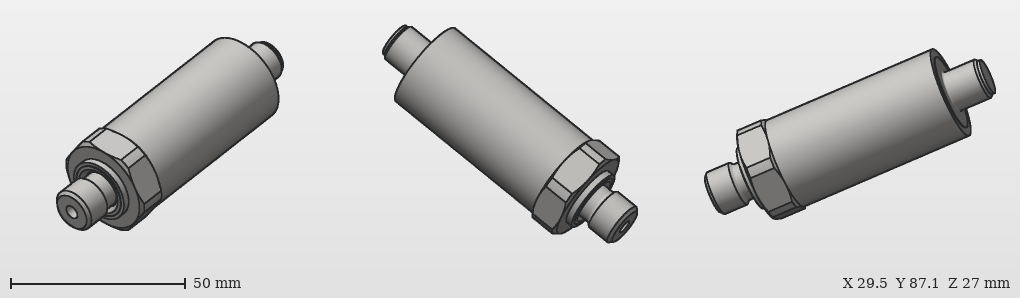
import cadquery as cq
import math


total_length = 87.1
wrench_size = 27.0
hex_sides = 6
hex_corner_diameter = 29.5
hex_chamfer_angle = 30.0

thread_length = 8.0
neck_end = 11.7
collar_step_length = 0.25
collar_length = 2.3
hex_length = 9.0
connector_length = 11.7

thread_radius = 6.55
thread_chamfer = 1.0
neck_radius = 5.6
neck_fillet = 0.8
run_out_angle = 45.0
bore_radius = 2.1
bore_depth = 10.0

collar_radius = 9.45
collar_step_radius = 8.35
recess_angle = 45.0
recess_radius = 7.25
recess_floor_radius = 5.9

rear_step_radius = 11.0
rear_step_length = 0.25
connector_radius = 6.0
connector_fillet = 0.6
connector_tip_radius = 5.2
connector_tip_length = 0.85
connector_chamfer_radius = 5.4
connector_chamfer_length = 0.75

y_front = -total_length / 2
y_rear = total_length / 2
y_collar = y_front + neck_end
y_hex = y_collar + collar_length
y_hex_end = y_hex + hex_length
y_body_end = y_rear - connector_length
y_rear_step = y_body_end + rear_step_length
body_radius = wrench_size / 2


def revolve_about_y(profile):
    """Turn a closed (radius, y) profile fully about the Y axis."""
    return profile.close().revolve(360, (0, 0, 0), (0, 1, 0))


def arc_offset(radius, angle):
    """Rise and run of an arc that starts along Y and turns through an angle in degrees."""
    turn = math.radians(angle)
    return radius * (1 - math.cos(turn)), radius * math.sin(turn)


def cone_length(rise, angle):
    """Length along Y of a cone that grows by a radius at an angle in degrees to Y."""
    return rise / math.tan(math.radians(angle))


def make_process_end():
    """Threaded stub with run-out and neck, and the recessed sealing collar."""
    y_run_out = y_front + thread_length
    fillet_rise, fillet_run = arc_offset(neck_fillet, run_out_angle)
    mid_rise, mid_run = arc_offset(neck_fillet, run_out_angle / 2)
    y_run_out_end = y_run_out + cone_length(thread_radius - neck_radius - fillet_rise, run_out_angle)
    y_neck = y_run_out_end + fillet_run
    y_recess_floor = y_collar + cone_length(recess_radius - recess_floor_radius, recess_angle)
    profile = (
        cq.Workplane("XY")
        .moveTo(0, y_front)
        .lineTo(thread_radius - thread_chamfer, y_front)
        .lineTo(thread_radius, y_front + thread_chamfer)
        .lineTo(thread_radius, y_run_out)
        .lineTo(neck_radius + fillet_rise, y_run_out_end)
        .threePointArc((neck_radius + mid_rise, y_neck - mid_run), (neck_radius, y_neck))
        .lineTo(neck_radius, y_recess_floor)
        .lineTo(recess_floor_radius, y_recess_floor)
        .lineTo(recess_radius, y_collar)
        .lineTo(collar_step_radius, y_collar)
        .lineTo(collar_step_radius, y_collar + collar_step_length)
        .lineTo(collar_radius, y_collar + collar_step_length)
        .lineTo(collar_radius, y_hex)
        .lineTo(0, y_hex)
    )
    return revolve_about_y(profile)


def make_hexagon():
    """Wrench hexagon, flats up and down, with turned and chamfered corners."""
    corner_half_angle = math.radians(180 / hex_sides)
    across_corners = wrench_size / math.cos(corner_half_angle)
    prism = (
        cq.Workplane("XZ", origin=(0, y_hex, 0))
        .polygon(hex_sides, across_corners)
        .extrude(-hex_length)
    )
    corner_radius = hex_corner_diameter / 2
    chamfer_length = (corner_radius - body_radius) * math.tan(math.radians(hex_chamfer_angle))
    turned_envelope = revolve_about_y(
        cq.Workplane("XY")
        .moveTo(0, y_hex)
        .lineTo(body_radius, y_hex)
        .lineTo(corner_radius, y_hex + chamfer_length)
        .lineTo(corner_radius, y_hex_end - chamfer_length)
        .lineTo(body_radius, y_hex_end)
        .lineTo(0, y_hex_end)
    )
    return prism.intersect(turned_envelope)


def make_body_and_connector():
    """Cylindrical housing, raised rear face and stepped connector."""
    y_tip = y_rear - connector_tip_length
    y_fillet = y_rear_step + connector_fillet
    fillet_center_radius = connector_radius + connector_fillet
    mid_offset = connector_fillet * math.sin(math.radians(45))
    profile = (
        cq.Workplane("XY")
        .moveTo(0, y_hex_end)
        .lineTo(body_radius, y_hex_end)
        .lineTo(body_radius, y_body_end)
        .lineTo(rear_step_radius, y_body_end)
        .lineTo(rear_step_radius, y_rear_step)
        .lineTo(fillet_center_radius, y_rear_step)
        .threePointArc(
            (fillet_center_radius - mid_offset, y_fillet - mid_offset),
            (connector_radius, y_fillet),
        )
        .lineTo(connector_radius, y_tip - connector_chamfer_length)
        .lineTo(connector_chamfer_radius, y_tip)
        .lineTo(connector_tip_radius, y_tip)
        .lineTo(connector_tip_radius, y_rear)
        .lineTo(0, y_rear)
    )
    return revolve_about_y(profile)


def make_pressure_bore():
    """Blind pressure port entering from the thread end."""
    return cq.Workplane("XZ", origin=(0, y_front, 0)).circle(bore_radius).extrude(-bore_depth)


result = (
    make_process_end()
    .union(make_hexagon())
    .union(make_body_and_connector())
    .cut(make_pressure_bore())
)